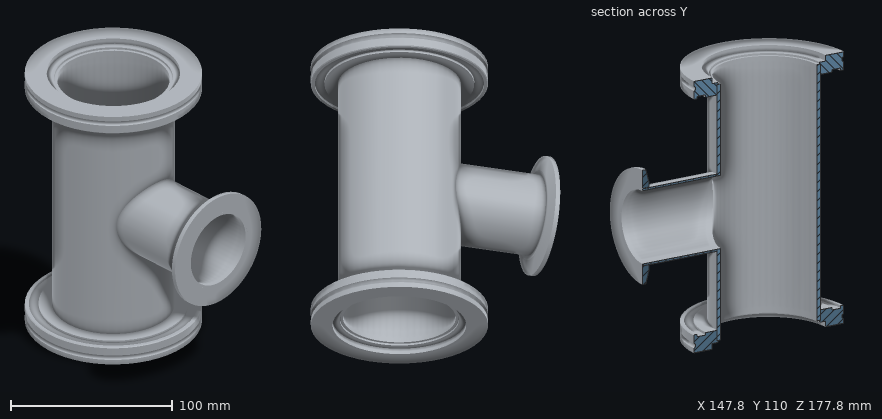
import cadquery as cq
import math

total_height = 177.8
main_outer_diameter = 76.5
main_inner_diameter = 70.0

flange_diameter = 110.0
flange_thickness = 12.1
seal_recess_diameter = 83.0
seal_recess_depth = 3.7
flange_bore_diameter = 74.0
tube_stop_depth = 5.0
clamp_groove_offset = 4.8
clamp_groove_width = 3.2
clamp_groove_depth = 1.2
channel_inner_diameter = 93.0
channel_outer_diameter = 105.0
channel_depth = 1.6
rim_chamfer = 0.5

branch_outer_diameter = 50.9
branch_inner_diameter = 47.7
branch_reach = 147.8 - flange_diameter / 2

branch_flange_diameter = 75.0
branch_flange_thickness = 5.3
branch_rim_width = 2.8
clamp_taper_angle = 15

main_radius = main_outer_diameter / 2
branch_radius = branch_outer_diameter / 2


def rod(diameter, start, end, plane="XY"):
    """Round rod along the normal of the plane, between two distances from the origin."""
    return cq.Workplane(plane).workplane(offset=start).circle(diameter / 2).extrude(end - start)


def make_main_tube():
    end_height = total_height / 2 - tube_stop_depth
    tube = rod(main_outer_diameter, -end_height, end_height)
    bore = rod(main_inner_diameter, -end_height, end_height)
    branch_opening = rod(branch_inner_diameter, 0, main_outer_diameter, "YZ")
    return tube.cut(bore).cut(branch_opening)


def make_branch_tube():
    tube = rod(branch_outer_diameter, 0, branch_reach, "YZ")
    bore = rod(branch_inner_diameter, 0, branch_reach, "YZ")
    saddle = rod(main_outer_diameter, -main_radius, main_radius)
    return tube.cut(bore).cut(saddle)


def make_end_flange():
    """Upper end flange: the section right of the Z axis, turned about Z."""
    face = total_height / 2
    back = face - flange_thickness
    rim_radius = flange_diameter / 2
    groove_middle = face - clamp_groove_offset
    groove_top = groove_middle + clamp_groove_width / 2
    groove_bottom = groove_middle - clamp_groove_width / 2
    channel_floor = back + channel_depth
    recess_floor = face - seal_recess_depth
    tube_stop = face - tube_stop_depth
    section = (
        cq.Workplane("XZ")
        .moveTo(seal_recess_diameter / 2, face)
        .lineTo(rim_radius, face)
        .lineTo(rim_radius, groove_top)
        .threePointArc((rim_radius - clamp_groove_depth, groove_middle), (rim_radius, groove_bottom))
        .lineTo(rim_radius, back + rim_chamfer)
        .lineTo(rim_radius - rim_chamfer, back)
        .lineTo(channel_outer_diameter / 2, back)
        .lineTo(channel_outer_diameter / 2, channel_floor)
        .lineTo(channel_inner_diameter / 2, channel_floor)
        .lineTo(channel_inner_diameter / 2, back)
        .lineTo(main_radius, back)
        .lineTo(main_radius, tube_stop)
        .lineTo(flange_bore_diameter / 2, tube_stop)
        .lineTo(flange_bore_diameter / 2, recess_floor)
        .lineTo(seal_recess_diameter / 2, recess_floor)
        .close()
    )
    return section.revolve(360, (0, 0, 0), (0, 1, 0))


def make_branch_flange():
    """Clamp flange around the branch tube: the section above the X axis, turned about X."""
    back = branch_reach - branch_flange_thickness
    taper_start = branch_reach - branch_rim_width
    rim_radius = branch_flange_diameter / 2
    taper_drop = (taper_start - back) / math.tan(math.radians(clamp_taper_angle))
    section = (
        cq.Workplane("XZ")
        .moveTo(back, branch_radius)
        .lineTo(back, rim_radius - taper_drop)
        .lineTo(taper_start, rim_radius)
        .lineTo(branch_reach, rim_radius)
        .lineTo(branch_reach, branch_radius)
        .close()
    )
    return section.revolve(360, (0, 0, 0), (1, 0, 0))


main_tube = make_main_tube()
branch_tube = make_branch_tube()
branch_flange = make_branch_flange()
end_flanges = []
for turn in (0, 180):
    end_flanges.append(make_end_flange().rotate((0, 0, 0), (1, 0, 0), turn))

result = cq.Compound.makeCompound([
    main_tube.val(),
    branch_tube.val(),
    branch_flange.val(),
    *[flange.val() for flange in end_flanges],
])